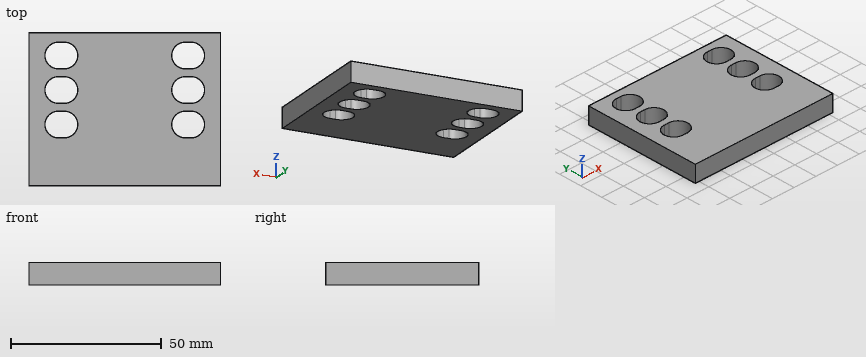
import cadquery as cq

plate_length = 63.5
plate_width = 50.8
plate_thickness = 7.5

slot_length = 10.8
slot_width = 8.73
column_spacing = 42.0
slots_per_column = 3
slot_pitch = 11.43
first_slot_from_back_edge = 7.62


def make_plate():
    return cq.Workplane("XY").box(plate_length, plate_width, plate_thickness)


def slot_centers():
    first_y = plate_width / 2 - first_slot_from_back_edge
    return [
        (side * column_spacing / 2, first_y - row * slot_pitch)
        for side in (-1, 1)
        for row in range(slots_per_column)
    ]


def cut_slots(plate):
    return (
        plate.faces(">Z")
        .workplane()
        .pushPoints(slot_centers())
        .slot2D(slot_length, slot_width)
        .cutThruAll()
    )


result = cut_slots(make_plate())